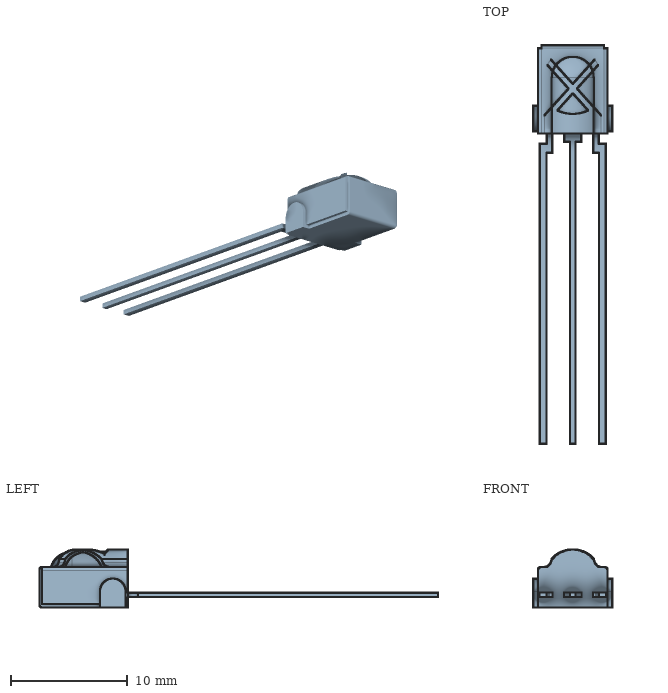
import cadquery as cq
import math


body_width = 6.0
body_length = 7.6
shoulder_height = 3.5
side_overhang = 0.3
back_round = 0.25
core_width = body_width - 2 * side_overhang

tab_span = 6.8
tab_radius = 1.1
tab_height = 2.5
tab_setback = 0.2
tab_back = tab_setback + 2 * tab_radius

crown_height = 5.0
crown_radius = 2.4
crown_edge_x = 1.8
crown_foot_x = 2.02
crown_blend_length = 0.41
lens_center_y = 4.8

lens_height = 4.8
lens_radius = 1.9
lens_front_radius = 3.1

cross_center_y = 3.87
arm_width = 0.54
arm_angle = 48.0

lead_pitch = 2.54
lead_thickness = 0.4
lead_bottom = 0.9
lead_length = 26.6
middle_lead_width = 0.5
middle_head_width = 1.5
middle_head_length = 0.7
outer_lead_width = 0.6
jog_offset = 0.5
jog_front = 1.65
jog_back = 0.85
lead_embed = 0.5


def box(x_min, x_max, y_min, y_max, z_min, z_max):
    """Box between the given limits."""
    size = (x_max - x_min, y_max - y_min, z_max - z_min)
    return cq.Workplane("XY").box(*size, centered=False).translate((x_min, y_min, z_min))


def make_body():
    """Core with rounded back edges, inside a wider shell that stops short of the back and underside."""
    core = box(-core_width / 2, core_width / 2, 0, body_length, 0, shoulder_height)
    core = core.faces(">Y").edges("|X").fillet(back_round)
    half_width = body_width / 2
    shell_back = body_length - back_round
    shell = box(-half_width, half_width, 0, shell_back, side_overhang, shoulder_height)
    shell = shell.faces(">Z").edges("|Y").fillet(side_overhang)
    front_skirt = box(-half_width, half_width, 0, tab_back, 0, tab_height)
    return core.union(shell).union(front_skirt)


def make_tabs():
    """Round-topped tabs on both sides, made as one bar through the body."""
    arch_base = tab_height - tab_radius
    return (
        cq.Workplane("YZ")
        .moveTo(tab_setback, 0)
        .lineTo(tab_setback, arch_base)
        .threePointArc((tab_setback + tab_radius, tab_height), (tab_back, arch_base))
        .lineTo(tab_back, 0)
        .close()
        .extrude(tab_span / 2, both=True)
    )


def crown_half_section(workplane):
    """Right half of the crown section: blend, leaning wall and arched top."""
    circle_z = crown_height - crown_radius
    edge_z = circle_z + math.sqrt(crown_radius**2 - crown_edge_x**2)
    wall_tilt = math.atan2(crown_foot_x - crown_edge_x, edge_z - shoulder_height)
    blend_outer_x = crown_foot_x + crown_blend_length
    blend_top_x = crown_foot_x - crown_blend_length * math.sin(wall_tilt)
    blend_top_z = shoulder_height + crown_blend_length * math.cos(wall_tilt)
    blend_radius = crown_blend_length * math.tan(math.pi / 4 + wall_tilt / 2)
    arc_mid_angle = math.asin(crown_edge_x / crown_radius) / 2
    arc_mid = (
        crown_radius * math.sin(arc_mid_angle),
        circle_z + crown_radius * math.cos(arc_mid_angle),
    )
    return (
        workplane.moveTo(0, circle_z)
        .lineTo(blend_outer_x, circle_z)
        .lineTo(blend_outer_x, shoulder_height)
        .radiusArc((blend_top_x, blend_top_z), blend_radius)
        .lineTo(crown_edge_x, edge_z)
        .threePointArc(arc_mid, (0, crown_height))
        .close()
    )


def make_crown():
    """Crown run along Y up to the lens centre and closed by a half turn of the same section."""
    section_plane = cq.Workplane("XZ", origin=(0, lens_center_y, 0))
    half_run = crown_half_section(section_plane).extrude(lens_center_y)
    back_end = crown_half_section(section_plane).revolve(180, (0, 0), (0, 1))
    return half_run.union(half_run.mirror("YZ")).union(back_end)


def make_pockets():
    """Four prisms above the shoulder that leave the arms of the cross standing between them."""
    angle = math.radians(arm_angle)
    reach = 2 * body_length
    side_x = arm_width / 2 / math.sin(angle)
    end_y = arm_width / 2 / math.cos(angle)
    run_x = reach * math.cos(angle)
    run_y = reach * math.sin(angle)

    def prism(points):
        plane = cq.Workplane("XY", origin=(0, cross_center_y, shoulder_height))
        return plane.polyline(points).close().extrude(crown_height)

    right = prism([(side_x, 0), (side_x + run_x, -run_y), (side_x + run_x, run_y)])
    left = right.mirror("YZ")
    back = prism([(0, end_y), (run_x, end_y + run_y), (-run_x, end_y + run_y)])
    front = prism([(0, -end_y), (run_x, -end_y - run_y), (-run_x, -end_y - run_y)])
    front_limit = (
        cq.Workplane("XY", origin=(0, lens_center_y, shoulder_height))
        .circle(lens_front_radius)
        .extrude(crown_height)
    )
    return right.union(left).union(back).union(front.intersect(front_limit))


def lens_half_section(workplane):
    """Right quarter disc of the lens section."""
    arc_mid = lens_radius * math.sqrt(0.5)
    return (
        workplane.lineTo(lens_radius, 0)
        .threePointArc((arc_mid, arc_mid), (0, lens_radius))
        .close()
    )


def make_lens():
    """Plain lens: a half cylinder along Y from the front face, closed by a quarter ball at the back."""
    axis_z = lens_height - lens_radius
    section_plane = cq.Workplane("XZ", origin=(0, lens_center_y, axis_z))
    half_run = lens_half_section(section_plane).extrude(lens_center_y)
    back_end = lens_half_section(section_plane).revolve(180, (0, 0), (0, 1))
    return half_run.union(half_run.mirror("YZ")).union(back_end)


def make_lead(points):
    """Flat lead of the given plan outline."""
    return cq.Workplane("XY", origin=(0, 0, lead_bottom)).polyline(points).close().extrude(lead_thickness)


def make_leads():
    """Straight middle lead with a wide head, and two outer leads that jog outwards."""
    half_head = middle_head_width / 2
    half_lead = middle_lead_width / 2
    middle = make_lead(
        [
            (-half_head, lead_embed),
            (half_head, lead_embed),
            (half_head, -middle_head_length),
            (half_lead, -middle_head_length),
            (half_lead, -lead_length),
            (-half_lead, -lead_length),
            (-half_lead, -middle_head_length),
            (-half_head, -middle_head_length),
        ]
    )
    outer_x = lead_pitch + outer_lead_width / 2
    inner_x = lead_pitch - outer_lead_width / 2
    right = make_lead(
        [
            (inner_x, lead_embed),
            (inner_x, -jog_back),
            (outer_x, -jog_back),
            (outer_x, -lead_length),
            (inner_x, -lead_length),
            (inner_x, -jog_front),
            (inner_x - jog_offset, -jog_front),
            (inner_x - jog_offset, lead_embed),
        ]
    )
    return middle.union(right).union(right.mirror("YZ"))


raised = make_crown().cut(make_pockets())
result = make_body().union(make_tabs()).union(raised).union(make_lens()).union(make_leads())